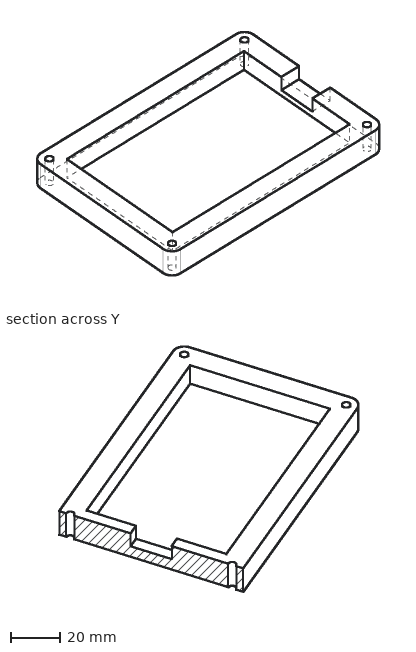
import cadquery as cq

width = 82.9
length = 118.9
height = 13.0
corner_radius = 5.0

wall = 10.0
floor_thickness = 3.0
pocket_width = width - 2 * wall
pocket_length = length - 2 * wall
pocket_depth = height - floor_thickness

notch_width = 18.4
notch_depth = 7.0

hole_diameter = 3.5
hole_spacing_x = width - 2 * corner_radius
hole_spacing_y = length - 2 * corner_radius


def make_block():
    block = cq.Workplane("XY").box(width, length, height, centered=(True, True, False))
    return block.edges("|Z").fillet(corner_radius)


def make_pocket():
    return (
        cq.Workplane("XY")
        .workplane(offset=floor_thickness)
        .rect(pocket_width, pocket_length)
        .extrude(pocket_depth)
    )


def make_notch():
    return (
        cq.Workplane("XY")
        .workplane(offset=height - notch_depth)
        .center(0, (length - wall) / 2)
        .rect(notch_width, wall)
        .extrude(notch_depth)
    )


def make_screw_holes():
    return (
        cq.Workplane("XY")
        .rect(hole_spacing_x, hole_spacing_y, forConstruction=True)
        .vertices()
        .circle(hole_diameter / 2)
        .extrude(height)
    )


result = make_block().cut(make_pocket()).cut(make_notch()).cut(make_screw_holes())